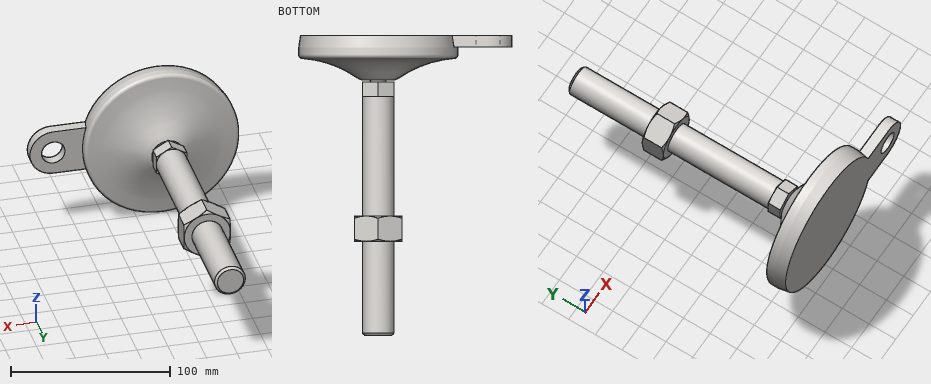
import cadquery as cq
import math

foot_radius = 100.0 / 2
sole_radius = 48.8
draft_height = 7.7
rim_height = 12.0
rim_fillet = 2.5
flare_top_radius = 13.0
flare_top_height = 26.8
flare_mid_radius = 29.2
flare_mid_height = 18.5
crown_radius = 10.4
crown_height = 28.0

lug_radius = 15.0
lug_reach = 134.0 - foot_radius
lug_center = lug_reach - lug_radius
lug_thickness = 7.4
lug_hole_diameter = 15.0

total_height = 188.5
stud_diameter = 20.0
stud_chamfer = 1.5
neck_diameter = 10.0
wrench_hex_base = 29.2
wrench_hex_top = 38.3

nut_width = 30.0
nut_base = 113.5
nut_thickness = 15.8
nut_chamfer_angle = math.radians(30)


def revolve_about_stud(outline):
    """Revolve a closed radius-height outline around the Y axis."""
    return outline.close().revolve(360, (0, 0, 0), (0, 1, 0))


def plane_at(height):
    """Work plane facing +Y, with its local X along the part's Z axis."""
    return cq.Workplane(cq.Plane((0, height, 0), xDir=(0, 0, 1), normal=(0, 1, 0)))


def hex_prism(across_flats, base, height):
    """Hexagonal prism with flats facing +X and -X."""
    corner_diameter = across_flats / math.cos(math.pi / 6)
    return plane_at(base).polygon(6, corner_diameter).extrude(height)


def make_foot():
    fillet_center = foot_radius - rim_fillet
    fillet_mid_offset = rim_fillet * math.cos(math.pi / 4)
    outline = (
        cq.Workplane("XY")
        .lineTo(sole_radius, 0)
        .lineTo(foot_radius, draft_height)
        .lineTo(foot_radius, rim_height)
        .threePointArc(
            (fillet_center + fillet_mid_offset, rim_height + fillet_mid_offset),
            (fillet_center, rim_height + rim_fillet),
        )
        .threePointArc((flare_mid_radius, flare_mid_height), (flare_top_radius, flare_top_height))
        .lineTo(crown_radius, crown_height)
        .lineTo(0, crown_height)
    )
    return revolve_about_stud(outline)


def make_lug():
    arm = cq.Workplane("XY").box(lug_center, lug_thickness, 2 * lug_radius, centered=(False, False, True))
    tip = plane_at(0).center(0, lug_center).circle(lug_radius).extrude(lug_thickness)
    return arm.union(tip)


def make_lug_hole():
    return plane_at(0).center(0, lug_center).circle(lug_hole_diameter / 2).extrude(lug_thickness)


def make_stud():
    radius = stud_diameter / 2
    outline = (
        cq.Workplane("XY")
        .moveTo(0, crown_height)
        .lineTo(neck_diameter / 2, crown_height)
        .lineTo(neck_diameter / 2, wrench_hex_top)
        .lineTo(radius, wrench_hex_top)
        .lineTo(radius, total_height - stud_chamfer)
        .lineTo(radius - stud_chamfer, total_height)
        .lineTo(0, total_height)
    )
    wrench_hex = hex_prism(stud_diameter, wrench_hex_base, wrench_hex_top - wrench_hex_base)
    return revolve_about_stud(outline).union(wrench_hex)


def make_nut():
    """Hexagon nut whose corners are turned down by a cone at both ends."""
    face_radius = nut_width / 2
    corner_radius = face_radius / math.cos(math.pi / 6)
    chamfer_height = (corner_radius - face_radius) * math.tan(nut_chamfer_angle)
    nut_top = nut_base + nut_thickness
    envelope = (
        cq.Workplane("XY")
        .moveTo(0, nut_base)
        .lineTo(face_radius, nut_base)
        .lineTo(corner_radius, nut_base + chamfer_height)
        .lineTo(corner_radius, nut_top - chamfer_height)
        .lineTo(face_radius, nut_top)
        .lineTo(0, nut_top)
    )
    return hex_prism(nut_width, nut_base, nut_thickness).intersect(revolve_about_stud(envelope))


foot = make_foot().union(make_lug()).cut(make_lug_hole())
result = foot.union(make_stud()).union(make_nut())